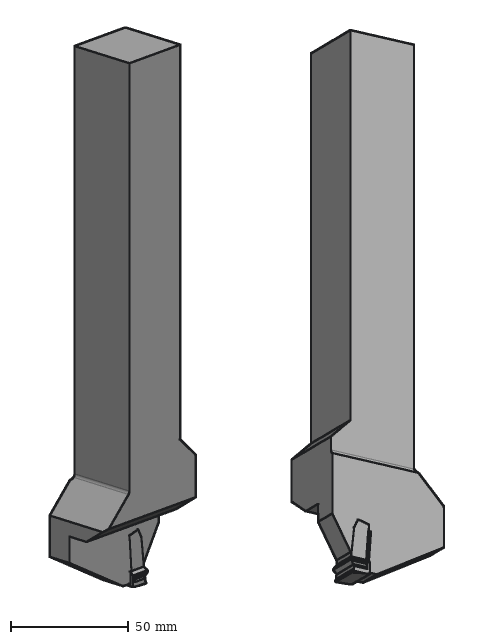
import cadquery as cq
import math

total_length = 250.0
head_depth = 56.2
shank_width = 32.0
right_side = 34.5
shank_left = right_side - shank_width
shank_front = 14.5
shank_back = shank_front + shank_width

ear_overhang = 1.5
blade_width = 11.5
blade_left = ear_overhang
blade_right = blade_left + blade_width
insert_width = blade_width + 2 * ear_overhang

blade_bottom = 2.2
front_toe = 21.8
back_toe = 25.5
front_shoulder = 40.5
shank_end = front_shoulder + shank_front
back_shoulder = 61.2
back_neck = 70.8

step_height = 33.8
step_corner_x = 23.0
step_slope_top = 42.0

blend_radius = 2.0
side_step = shank_left - blade_left
blend_angle = math.acos(1 - side_step / blend_radius)
blend_height = blend_radius * math.sin(blend_angle)

bottom_flat_front = 33.8
seat_front = 38.2
seat_back = 46.8
ear_top = 7.8
jaw_tip_back = 47.0
jaw_tip_height = 9.8
ear_chamfer = 1.5
nose_chamfer = 0.8
stem_front = 39.0
stem_top_front = (37.8, 24.2)
stem_top_back = (43.2, 25.5)
stem_back_shoulder = (45.2, 21.5)
relief_depth = 0.5
relief_width = 1.2
relief_top = 21.2

rake_tip = (47.8, 5.8)
rake_root = 46.2
rake_root_top = 3.8
rake_root_bottom = 1.8
cutting_edge = (47.0, 0)
head_heel_height = 1.0

notch_front = 39.5
notch_bottom = 3.0
notch_middle = 4.0
notch_top = 5.2
notch_depth = 0.5


def prism_along_x(points, x_start, x_end):
    """Extrude a closed YZ outline between two X positions."""
    return cq.Workplane("YZ", origin=(x_start, 0, 0)).polyline(points).close().extrude(x_end - x_start)


def side_profile():
    """Holder outline in YZ, with a rounded corner at the front of the neck."""
    body = prism_along_x(
        [
            (shank_front, total_length),
            (shank_front, shank_end),
            (0, front_shoulder),
            (0, front_toe),
            (bottom_flat_front, blade_bottom),
            (seat_front, blade_bottom),
            (seat_front, ear_top),
            (seat_back, ear_top),
            (jaw_tip_back, jaw_tip_height),
            (head_depth, back_toe),
            (head_depth, back_shoulder),
            (shank_back, back_neck),
            (shank_back, total_length),
        ],
        blade_left,
        right_side,
    )
    neck_corner = cq.selectors.NearestToPointSelector(((blade_left + right_side) / 2, shank_front, shank_end))
    return body.edges(neck_corner).fillet(blend_radius)


def front_profile():
    """Holder outline in XZ, extruded over the whole depth."""
    half_angle = blend_angle / 2
    blend_middle = (
        shank_left - blend_radius * (1 - math.cos(half_angle)),
        shank_end - blend_radius * math.sin(half_angle),
    )
    return (
        cq.Workplane("XZ")
        .moveTo(shank_left, total_length)
        .lineTo(shank_left, shank_end)
        .threePointArc(blend_middle, (blade_left, shank_end - blend_height))
        .lineTo(blade_left, 0)
        .lineTo(blade_right, 0)
        .lineTo(blade_right, step_height)
        .lineTo(step_corner_x, step_height)
        .lineTo(right_side, step_slope_top)
        .lineTo(right_side, total_length)
        .close()
        .extrude(-head_depth)
    )


def insert_stem():
    """Leaning stem of the insert, flush with both sides of the blade."""
    return prism_along_x(
        [(seat_back, ear_top), stem_back_shoulder, stem_top_back, stem_top_front, (stem_front, ear_top)],
        blade_left,
        blade_right,
    )


def flank_notch(flank_x, inward):
    """V-shaped notch, open at the rake face and closed behind the front rim."""
    return (
        cq.Workplane("XZ", origin=(0, notch_front, 0))
        .polyline(
            [
                (flank_x, notch_bottom),
                (flank_x + inward * notch_depth, notch_middle),
                (flank_x, notch_top),
            ]
        )
        .close()
        .extrude(notch_front - head_depth)
    )


def insert_head():
    """Wide cutting head with a notched rake face and chamfered ears."""
    side = prism_along_x(
        [
            (seat_front, ear_top),
            (seat_back, ear_top),
            rake_tip,
            (rake_root, rake_root_top),
            (rake_root, rake_root_bottom),
            cutting_edge,
            (seat_front, head_heel_height),
        ],
        0,
        insert_width,
    )
    width_outline = (
        cq.Workplane("XZ")
        .polyline(
            [
                (nose_chamfer, 0),
                (0, nose_chamfer),
                (0, ear_top - ear_chamfer),
                (ear_overhang, ear_top),
                (blade_right, ear_top),
                (insert_width, ear_top - ear_chamfer),
                (insert_width, nose_chamfer),
                (insert_width - nose_chamfer, 0),
            ]
        )
        .close()
        .extrude(-head_depth)
    )
    return side.intersect(width_outline).cut(flank_notch(0, 1)).cut(flank_notch(insert_width, -1))


def seat_relief():
    """Shallow recess in the blade side along the front of the stem."""
    stem_slope = (stem_top_front[0] - stem_front) / (stem_top_front[1] - ear_top)
    top_y = stem_front + stem_slope * (relief_top - ear_top)
    return prism_along_x(
        [
            (stem_front, ear_top),
            (top_y, relief_top),
            (top_y - relief_width, relief_top),
            (stem_front - relief_width, ear_top),
        ],
        blade_left,
        blade_left + relief_depth,
    )


holder = side_profile().intersect(front_profile()).cut(insert_stem()).cut(seat_relief())
insert = insert_stem().union(insert_head())

result = cq.Compound.makeCompound([holder.solids().val(), insert.solids().val()])